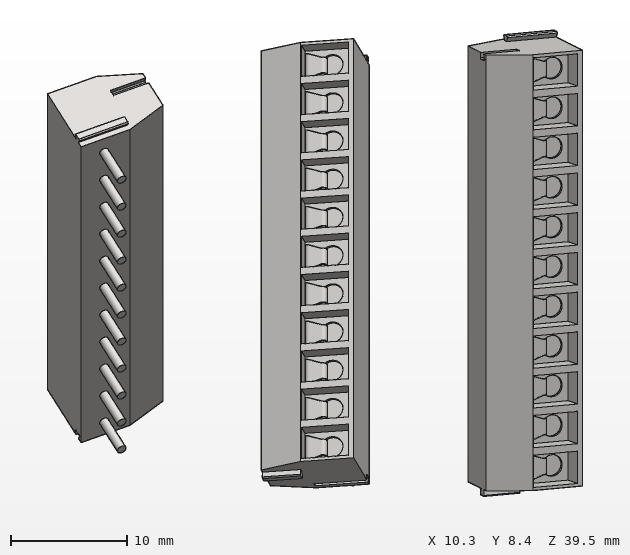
import cadquery as cq
import math

body_width = 6.75
body_depth = 8.4
body_height = 38.35
shoulder_y = 4.65
back_left_x = 1.42
back_right_x = 5.45
body_top = body_height / 2
body_bottom = -body_top

pole_count = 11
end_wall = 0.28
pocket_height = 2.85
pole_pitch = (body_height - 2 * end_wall - pocket_height) / (pole_count - 1)
pole_heights = [(i - (pole_count - 1) / 2) * pole_pitch for i in range(pole_count)]

pocket_depth = 1.55
wall_draft = 0.25
pocket_near_y = 0.47
pocket_far_y = 4.58

hole_y = 2.2
hole_diameter = 1.9
hole_depth = 0.28
hole_floor_x = pocket_depth + hole_depth

plate_face_x = 1.35
plate_wide = 2.45
plate_narrow = 1.42
plate_bend = 0.4
plate_tip_y = 2.7
plate_neck_y = plate_tip_y + plate_bend
plate_back_bend = 0.4

pin_y = 2.17
pin_diameter = 0.83
pin_length = 3.55

rail_width = 0.85
rail_chamfer = 0.1
top_rail_x = 5.95
top_rail_neck = 0.47
top_rail_height = 0.5
bottom_rail_x = 2.3
bottom_rail_neck = 0.65
bottom_rail_height = 0.6
bottom_rail_length = 3.35


def make_body():
    outline = [
        (0, 0),
        (body_width, 0),
        (body_width, shoulder_y),
        (back_right_x, body_depth),
        (back_left_x, body_depth),
        (0, shoulder_y),
    ]
    return cq.Workplane("XY", origin=(0, 0, body_bottom)).polyline(outline).close().extrude(body_height)


def make_pocket(z):
    """Space removed by one terminal: the open pocket and the screw hole in its floor."""
    outline = [
        (0, pocket_near_y),
        (pocket_depth, pocket_near_y + wall_draft),
        (pocket_depth, pocket_far_y),
        (0, pocket_far_y),
    ]
    pocket = (
        cq.Workplane("XY", origin=(0, 0, z - pocket_height / 2)).polyline(outline).close().extrude(pocket_height)
    )
    hole = cq.Workplane("YZ", origin=(pocket_depth, hole_y, z)).circle(hole_diameter / 2).extrude(hole_depth)
    return pocket.union(hole)


def make_plate(z):
    """Bent clamp plate: its side profile trimmed to its tapered face."""
    profile = (
        cq.Workplane("XY", origin=(0, 0, z - plate_wide / 2))
        .moveTo(hole_floor_x, plate_tip_y)
        .lineTo(plate_face_x + plate_bend, plate_tip_y)
        .radiusArc((plate_face_x, plate_neck_y), plate_bend)
        .lineTo(plate_face_x, pocket_far_y - plate_back_bend)
        .radiusArc((plate_face_x + plate_back_bend, pocket_far_y), plate_back_bend)
        .lineTo(hole_floor_x, pocket_far_y)
        .close()
        .extrude(plate_wide)
    )
    face = (
        cq.Workplane("YZ", origin=(0, 0, z))
        .polyline([
            (plate_tip_y, -plate_narrow / 2),
            (plate_neck_y, -plate_narrow / 2),
            (pocket_far_y, -plate_wide / 2),
            (pocket_far_y, plate_wide / 2),
            (plate_neck_y, plate_narrow / 2),
            (plate_tip_y, plate_narrow / 2),
        ])
        .close()
        .extrude(hole_floor_x)
    )
    return profile.intersect(face)


def make_pin(z):
    return cq.Workplane("YZ", origin=(body_width, pin_y, z)).circle(pin_diameter / 2).extrude(pin_length)


def make_rail(x, base_z, neck, rise, near_y, far_y):
    """Dovetail bar along Y: widens from its neck over a signed rise in Z, then ends in chamfers."""
    chamfer_z = base_z + rise - math.copysign(rail_chamfer, rise)
    outline = [
        (x - neck / 2, base_z),
        (x - rail_width / 2, chamfer_z),
        (x - rail_width / 2 + rail_chamfer, base_z + rise),
        (x + rail_width / 2 - rail_chamfer, base_z + rise),
        (x + rail_width / 2, chamfer_z),
        (x + neck / 2, base_z),
    ]
    return cq.Workplane("XZ", origin=(0, near_y, 0)).polyline(outline).close().extrude(near_y - far_y)


def make_top_rail(base_z):
    """Rail of the top face; set at the bottom face it is the shape of the mating groove."""
    return make_rail(top_rail_x, base_z, top_rail_neck, top_rail_height, 0, shoulder_y)


def make_bottom_rail(base_z):
    """Rail of the bottom face; set at the top face it is the shape of the mating groove."""
    near_y = body_depth - bottom_rail_length
    return make_rail(bottom_rail_x, base_z, bottom_rail_neck, -bottom_rail_height, near_y, body_depth)


result = make_body()
result = result.cut(make_top_rail(body_bottom)).cut(make_bottom_rail(body_top))
result = result.union(make_top_rail(body_top)).union(make_bottom_rail(body_bottom))

for pole_z in pole_heights:
    result = result.cut(make_pocket(pole_z))
    result = result.union(make_plate(pole_z))
    result = result.union(make_pin(pole_z))